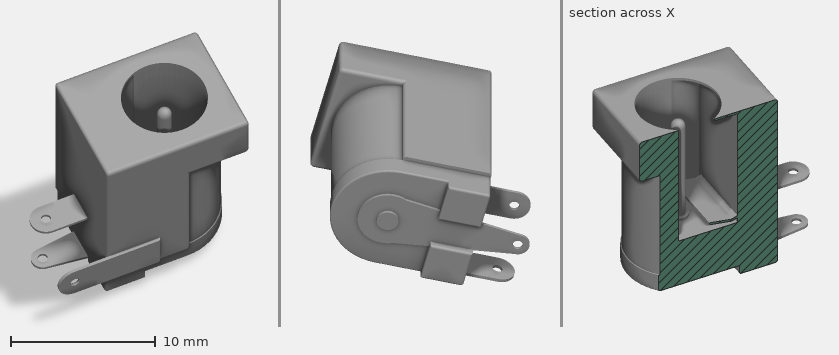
import cadquery as cq


height = 14.04
body_width = 8.75
back_y = 4.46
front_y = -6.34
head_bottom_z = 10.63
edge_radius = 0.28
front_edge_radius = 0.2
barrel_radius = 3.95
barrel_y = -0.06

base_radius = 4.04
base_top_z = 2.11
base_bottom_z = 0.71
base_edge_radius = 0.13
foot_edge_radius = 0.17
foot_depth = 3.0
foot_gap = 2.3

socket_radius = 3.0
socket_floor_z = 4.52
pin_radius = 0.503
pin_tip_z = height - 1.35
collar_radius = 0.751
collar_height = 0.2
rivet_bottom_z = 0.29

pocket_width = 5.92
pocket_roof = 0.2
pocket_inner_y = -1.0
pocket_outer_y = -3.21

sheet = 0.2
lug_hole_radius = 0.35
lug_tip_y = -10.12

leaf_width = 5.34
leaf_bend_y = -2.75
leaf_rise = 0.29
upper_lug_width = 2.25
upper_lug_bottom_z = 4.9

side_lug_outer_x = 4.6
side_lug_root_y = -2.36
side_lug_width = 2.45
side_lug_bend_radius = 0.22

disc_radius = 2.07
taper_half_width = 2.0
lower_tip_radius = 0.82
lower_lug_tip_y = -10.06


def box(x_range, y_range, z_range):
    """Block spanning the given (low, high) ranges."""
    (x0, x1), (y0, y1), (z0, z1) = x_range, y_range, z_range
    return cq.Workplane("XY").box(x1 - x0, y1 - y0, z1 - z0, centered=False).translate((x0, y0, z0))


def centred(width):
    """Range of the given width, symmetric about zero."""
    return (-width / 2, width / 2)


def cylinder(radius, bottom_z, top_z):
    """Cylinder on the plug axis."""
    return cq.Workplane("XY").workplane(offset=bottom_z).circle(radius).extrude(top_z - bottom_z)


def make_housing():
    """Square head over a front block, with the round barrel showing behind it."""
    block = (
        cq.Workplane("YZ")
        .moveTo(front_y, base_top_z)
        .lineTo(barrel_y, base_top_z)
        .lineTo(barrel_y, head_bottom_z)
        .lineTo(back_y, head_bottom_z)
        .lineTo(back_y, height)
        .lineTo(front_y, height)
        .close()
        .extrude(body_width / 2, both=True)
    )
    side_edges = block.faces("<X or >X").edges("not <Y").edges("not <Z")
    back_edges = block.faces(">Y").edges("|X")
    block = block.newObject(side_edges.objects + back_edges.objects).fillet(edge_radius)
    block = block.faces("<Y").edges("not <Z").fillet(front_edge_radius)
    barrel = cylinder(barrel_radius, base_top_z, head_bottom_z + edge_radius)
    return block.union(barrel.translate((0, barrel_y, 0)))


def make_base():
    """Base cap with a half-round back and two feet at the front."""
    cap = (
        cq.Workplane("XY")
        .workplane(offset=base_bottom_z)
        .moveTo(-base_radius, barrel_y)
        .threePointArc((0, barrel_y + base_radius), (base_radius, barrel_y))
        .lineTo(base_radius, front_y)
        .lineTo(-base_radius, front_y)
        .close()
        .extrude(base_top_z - base_bottom_z)
        .edges("|Z and <Y")
        .fillet(front_edge_radius)
        .faces("<Z")
        .edges()
        .fillet(base_edge_radius)
    )
    foot_y = (front_y, front_y + foot_depth)
    cap = cap.union(box(centred(foot_gap), foot_y, (base_bottom_z, base_top_z)))
    for side in (-1, 1):
        foot_x = sorted((side * foot_gap / 2, side * base_radius))
        outer_side = "<X" if side < 0 else ">X"
        foot = (
            box(foot_x, foot_y, (0, base_top_z))
            .edges(f"|Z and <Y and {outer_side}")
            .fillet(front_edge_radius)
            .faces("<Z")
            .edges()
            .fillet(foot_edge_radius)
        )
        cap = cap.union(foot)
    return cap


def cut_socket(body):
    """Round plug socket and the leaf pocket on its front side."""
    socket = cylinder(socket_radius, socket_floor_z, height)
    pocket = box(
        centred(pocket_width),
        (pocket_outer_y, pocket_inner_y),
        (socket_floor_z, height - pocket_roof),
    )
    return body.cut(socket).cut(pocket)


def make_pin():
    """Dome-ended centre pin with a collar inside and a rivet head below."""
    pin = cylinder(pin_radius, base_bottom_z, pin_tip_z - pin_radius)
    dome = cq.Workplane("XY").sphere(pin_radius).translate((0, 0, pin_tip_z - pin_radius))
    collar = cylinder(collar_radius, socket_floor_z, socket_floor_z + collar_height)
    rivet = cylinder(collar_radius, rivet_bottom_z, base_bottom_z)
    return pin.union(dome).union(collar).union(rivet)


def make_upper_lug():
    """Round-ended solder lug carrying the bent leaf contact."""
    end_y = lug_tip_y + upper_lug_width / 2
    strip = box(
        centred(upper_lug_width),
        (end_y, pocket_outer_y),
        (upper_lug_bottom_z, upper_lug_bottom_z + sheet),
    )
    end = cylinder(upper_lug_width / 2, upper_lug_bottom_z, upper_lug_bottom_z + sheet)
    hole = cylinder(lug_hole_radius, upper_lug_bottom_z, upper_lug_bottom_z + sheet)
    lug = strip.union(end.translate((0, end_y, 0))).cut(hole.translate((0, end_y, 0)))

    bend_z = upper_lug_bottom_z - leaf_rise / 2
    tip_z = bend_z + leaf_rise
    leaf = (
        cq.Workplane("YZ")
        .moveTo(pocket_outer_y, upper_lug_bottom_z)
        .lineTo(leaf_bend_y, bend_z)
        .lineTo(pocket_inner_y, tip_z)
        .lineTo(pocket_inner_y, tip_z + sheet)
        .lineTo(leaf_bend_y, bend_z + sheet)
        .lineTo(pocket_outer_y, upper_lug_bottom_z + sheet)
        .close()
        .extrude(leaf_width / 2, both=True)
    )
    return lug.union(leaf)


def make_side_lug():
    """Upright solder lug lying against the +X wall, bent into it at the root."""
    end_y = lug_tip_y + side_lug_width / 2
    centre_z = base_top_z + side_lug_width / 2
    wall_x = body_width / 2
    thickness = side_lug_outer_x - wall_x
    plate = (
        box(
            (wall_x, side_lug_outer_x),
            (end_y, side_lug_root_y),
            (base_top_z, base_top_z + side_lug_width),
        )
        .edges("|Z and >X and >Y")
        .fillet(side_lug_bend_radius)
    )
    side_plane = cq.Workplane("YZ", origin=(wall_x, end_y, centre_z))
    end = side_plane.circle(side_lug_width / 2).extrude(thickness)
    hole = side_plane.circle(lug_hole_radius).extrude(thickness)
    return plate.union(end).cut(hole)


def make_lower_lug():
    """Disc riveted under the base, tapering to a round-ended solder lug."""
    bottom_z = base_bottom_z - sheet
    end_y = lower_lug_tip_y + lower_tip_radius
    taper = (
        cq.Workplane("XY")
        .workplane(offset=bottom_z)
        .moveTo(-taper_half_width, 0)
        .lineTo(taper_half_width, 0)
        .lineTo(lower_tip_radius, end_y)
        .lineTo(-lower_tip_radius, end_y)
        .close()
        .extrude(sheet)
    )
    tip = cylinder(lower_tip_radius, bottom_z, base_bottom_z).translate((0, end_y, 0))
    hole = cylinder(lug_hole_radius, bottom_z, base_bottom_z).translate((0, end_y, 0))
    return cylinder(disc_radius, bottom_z, base_bottom_z).union(taper).union(tip).cut(hole)


body = cut_socket(make_housing().union(make_base()))
result = body.union(make_pin()).union(make_upper_lug()).union(make_side_lug()).union(make_lower_lug())